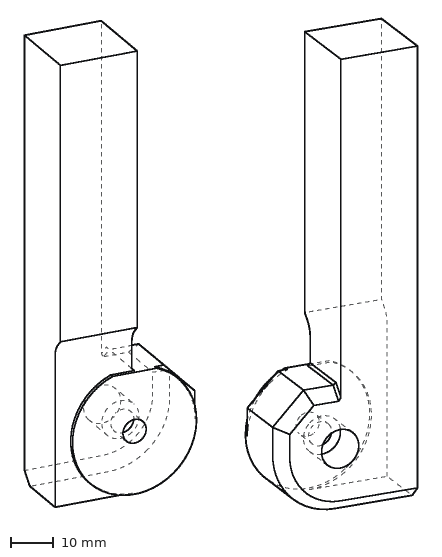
import cadquery as cq
import math

shank_width = 19.88
shank_depth = shank_width
shank_height = 113.65
face_draft = 0.1

lug_radius = 16.05
hinge_y = 20.1
lug_rise = 15.0
corner_cut = 8.0
root_chamfer = 0.62
edge_chamfer = 3.0

relief_depth = 3.0
relief_top = 43.3
relief_fillet = 5.0
pad_thickness = 1.0

bore_diameter = 6.0
recess_diameter = 9.64
recess_depth = 10.0
recess_tip_angle = 120.0

hinge_z = lug_radius
lug_back = hinge_y + lug_radius
lug_top = hinge_z + lug_rise
lug_thickness = shank_width - relief_depth
pad_face = lug_thickness + pad_thickness


def make_shank():
    """Bar with a bevelled foot and a relief that blends out at 45 degrees."""
    diagonal = math.sqrt(0.5)
    blend_x = lug_thickness + relief_fillet * (1 - diagonal)
    blend_z = relief_top - (shank_width - blend_x)
    relief_end_z = blend_z - relief_fillet * diagonal
    profile = (
        cq.Workplane("XZ")
        .moveTo(edge_chamfer, 0)
        .lineTo(lug_thickness, 0)
        .lineTo(lug_thickness, relief_end_z)
        .radiusArc((blend_x, blend_z), relief_fillet)
        .lineTo(shank_width, relief_top)
        .lineTo(shank_width, shank_height)
        .lineTo(0, shank_height)
        .lineTo(0, edge_chamfer)
        .close()
    )
    return profile.extrude(-shank_depth)


def make_lug():
    """Rounded plate with a bevel along its outer -X edge."""
    arc_reach = lug_radius * math.sqrt(0.5)
    plate = (
        cq.Workplane("YZ")
        .moveTo(0, 0)
        .lineTo(hinge_y, 0)
        .threePointArc((hinge_y + arc_reach, hinge_z - arc_reach), (lug_back, hinge_z))
        .lineTo(lug_back, lug_top - corner_cut)
        .lineTo(lug_back - corner_cut, lug_top)
        .lineTo(0, lug_top)
        .close()
        .extrude(lug_thickness)
    )
    return plate.faces("<X").edges("not <Y").chamfer(edge_chamfer)


def make_pad():
    """Round bearing pad about the hinge axis, cut level with the lug top."""
    disc = (
        cq.Workplane("YZ", origin=(lug_thickness, hinge_y, hinge_z))
        .circle(lug_radius)
        .extrude(pad_thickness)
    )
    limit = cq.Workplane("XY").box(shank_width, lug_back, lug_top, centered=False)
    return disc.intersect(limit)


def make_draft_wedge():
    """Thin wedge that gives the -X face of the shank its lean."""
    return (
        cq.Workplane("XY")
        .polyline([(0, 0), (face_draft, 0), (0, shank_depth)])
        .close()
        .extrude(shank_height)
    )


def make_hinge_hole():
    """Stepped cutter about the hinge axis, with a drill-point step."""
    bore_radius = bore_diameter / 2
    recess_radius = recess_diameter / 2
    cone_depth = (recess_radius - bore_radius) / math.tan(math.radians(recess_tip_angle / 2))
    half_section = (
        cq.Workplane("XY", origin=(0, hinge_y, hinge_z))
        .lineTo(0, recess_radius)
        .lineTo(recess_depth, recess_radius)
        .lineTo(recess_depth + cone_depth, bore_radius)
        .lineTo(pad_face, bore_radius)
        .lineTo(pad_face, 0)
        .close()
    )
    return half_section.revolve(360, (0, 0, 0), (1, 0, 0))


def join_lug_to_shank():
    """Union of shank and lug with a small web in the corner above the lug."""
    joined = make_shank().union(make_lug())
    margin = root_chamfer / 2
    corner = cq.selectors.BoxSelector(
        (-margin, shank_depth - margin, lug_top - edge_chamfer - margin),
        (lug_thickness + margin, shank_depth + margin, lug_top + margin),
    )
    return joined.edges(corner).chamfer(root_chamfer)


body = join_lug_to_shank().union(make_pad())
result = body.cut(make_draft_wedge()).cut(make_hinge_hole())